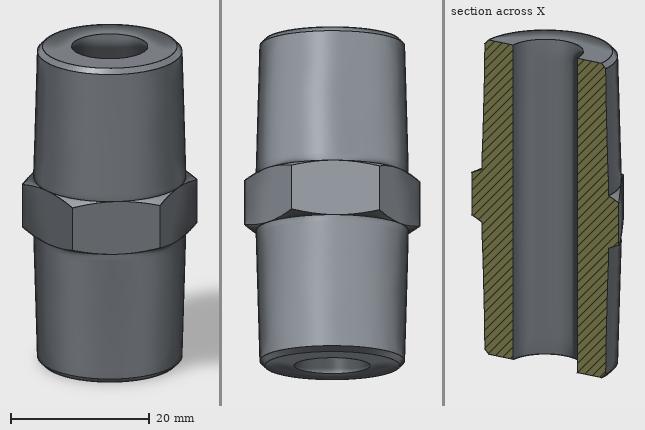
import cadquery as cq
import math

length = 48.0
across_flats = 22.0
bore_diameter = 11.0

hex_height = 8.05
hex_chamfer_angle = 25.0

collar_length = 0.9
root_diameter = 22.0
tip_diameter = 20.95
end_face_diameter = 19.5
tip_chamfer_length = 0.7

across_corners = across_flats / math.cos(math.radians(30))
half_length = length / 2
half_hex = hex_height / 2


def make_hexagon():
    """Hexagon with flats facing +X and -X and conically chamfered corners."""
    prism = (
        cq.Workplane("XY")
        .polygon(6, across_corners)
        .extrude(hex_height)
        .translate((0, 0, -half_hex))
        .rotate((0, 0, 0), (0, 0, 1), 30)
    )
    face_radius = across_flats / 2
    corner_radius = across_corners / 2
    corner_drop = (corner_radius - face_radius) * math.tan(math.radians(hex_chamfer_angle))
    chamfer_envelope = (
        cq.Workplane("XZ")
        .moveTo(0, -half_hex)
        .lineTo(face_radius, -half_hex)
        .lineTo(corner_radius, -half_hex + corner_drop)
        .lineTo(corner_radius, half_hex - corner_drop)
        .lineTo(face_radius, half_hex)
        .lineTo(0, half_hex)
        .close()
        .revolve(360, (0, 0, 0), (0, 1, 0))
    )
    return prism.intersect(chamfer_envelope)


def make_upper_spigot():
    """Straight collar, tapered length and chamfered tip, from the centre upwards."""
    return (
        cq.Workplane("XZ")
        .lineTo(root_diameter / 2, 0)
        .lineTo(root_diameter / 2, half_hex + collar_length)
        .lineTo(tip_diameter / 2, half_length - tip_chamfer_length)
        .lineTo(end_face_diameter / 2, half_length)
        .lineTo(0, half_length)
        .close()
        .revolve(360, (0, 0, 0), (0, 1, 0))
    )


upper_spigot = make_upper_spigot()
lower_spigot = upper_spigot.mirror("XY")
bore = cq.Workplane("XY").circle(bore_diameter / 2).extrude(half_length, both=True)

result = make_hexagon().union(upper_spigot).union(lower_spigot).cut(bore)